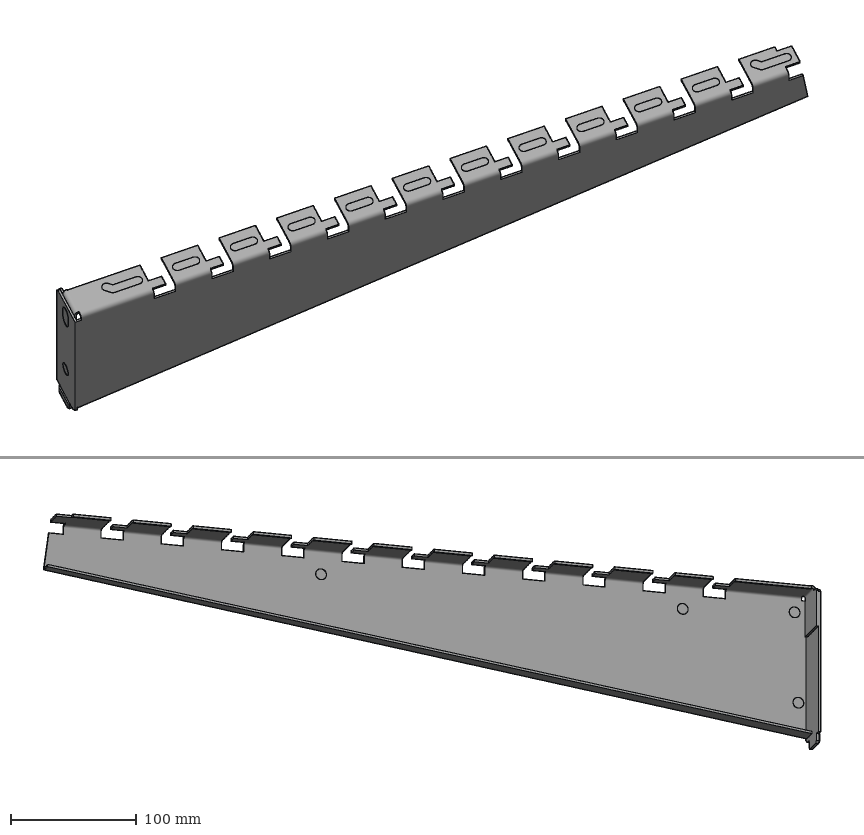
import cadquery as cq
import math

sheet = 2.0
bend_inside = 2.0
bend_outside = bend_inside + sheet
margin = 6.5

length = 635.0
width = 37.5
height = 138.5

top_angle = 0.7
bottom_angle = 7.8
tongue_end = 631.0
bottom_rear = 98.0
top_slope = math.tan(math.radians(top_angle))
bottom_slope = math.tan(math.radians(bottom_angle))

top_width = 30.0
lip_rounding = 1.0
lip_depth = 2.5
bottom_width_front = 18.5
bottom_width_rear = 13.0
trim_top = 114.0

notch_count = 11
notch_first = 70.0
notch_span = 499.0
notch_width = 18.5
notch_depth = 9.0
notch_pitch = notch_span / (notch_count - 1)
tongue_left = -12.0
notch_tongue_length = 11.5

rear_step = 618.5
rear_tongue_left = -25.0
rear_tongue_right = -7.5

recess_depth = 0.3

slot_x = -16.0
slot_width = 7.5
slot_length = 23.0
hook_shift = 4.0
hooked_length = 33.0
front_slot_margin = 4.0
front_slot_rear = notch_first - front_slot_margin
rear_slot_rear = 626.5

plate_front = 1.0
plate_back = plate_front + sheet
plate_bottom = 7.5
plate_top = 126.5
heel_height = 5.0
heel_width = 4.0
plate_corner = 2.5
foot_left = -31.0
foot_right = -10.0
foot_corner = 2.0
foot_bevel = 0.95
flap_bottom = 95.0
flap_right = -6.0
plate_hole_x = -19.5
plate_hole_width = 11.0
plate_slot_height = 19.5
plate_slot_z = 110.0
plate_hole_z = 42.0

web_hole_diameter = 9.0
web_holes = [(405.0, 114.0), (105.5, 111.0), (13.0, 116.0), (9.5, 41.0)]


def top_z(y):
    return height + (y - tongue_end) * top_slope


def bottom_z(y):
    return bottom_rear + (y - length) * bottom_slope


def rear_y(z):
    """Rear edge of the arm, square to the sloping bottom."""
    return length - (z - bottom_rear) * bottom_slope


def prism(points, x_from, x_to):
    """Solid with a (y, z) outline, between two x positions."""
    return cq.Workplane("YZ").workplane(offset=x_from).polyline(points).close().extrude(x_to - x_from)


def block(x_from, x_to, y_from, y_to, z_from, z_to):
    size = (x_to - x_from, y_to - y_from, z_to - z_from)
    return cq.Workplane("XY").box(*size, centered=False).translate((x_from, y_from, z_from))


def top_strip(x_from, x_to, y_from, y_to, depth, above=0.0):
    """Strip that follows the sloping top edge."""
    points = [
        (y_from, top_z(y_from) - depth),
        (y_to, top_z(y_to) - depth),
        (y_to, top_z(y_to) + above),
        (y_from, top_z(y_from) + above),
    ]
    return prism(points, x_from, x_to)


def nearest(x, y, z):
    return cq.selectors.NearestToPointSelector((x, y, z))


def channel():
    """Web with a bent flange along its top and its bottom edge."""
    front = plate_back
    rear_top = rear_y(height)
    outer = prism(
        [
            (front, bottom_z(front)),
            (length, bottom_rear),
            (rear_top, top_z(rear_top)),
            (front, top_z(front)),
        ],
        -top_width,
        0,
    )
    middle = length / 2
    outer = outer.edges(nearest(0, middle, top_z(middle))).fillet(bend_outside)
    outer = outer.edges(nearest(0, middle, bottom_z(middle))).fillet(bend_outside)
    outer = outer.edges(nearest(-top_width, middle, top_z(middle))).fillet(lip_rounding)

    y_from = front - margin
    y_to = length + margin
    bottom_gap = sheet / math.cos(math.radians(bottom_angle))
    inside_bottom = [(y_from, bottom_z(y_from) + bottom_gap), (y_to, bottom_z(y_to) + bottom_gap)]
    inner = prism(
        inside_bottom + [(y_to, top_z(y_to) - sheet), (y_from, top_z(y_from) - sheet)],
        sheet - top_width,
        -sheet,
    )
    inner = inner.edges(nearest(-sheet, middle, top_z(middle))).fillet(bend_inside)
    below_lip = prism(
        inside_bottom + [(y_to, top_z(y_to) - lip_depth), (y_from, top_z(y_from) - lip_depth)],
        -top_width - margin,
        sheet - top_width,
    )
    return outer.cut(inner).cut(below_lip)


def bottom_flange_trim():
    """Cutter that removes the bottom flange beyond its tapering free edge."""
    outline = [
        (-width, 0),
        (-bottom_width_front, 0),
        (-bottom_width_rear, length),
        (-bottom_width_rear, length + margin),
        (-width, length + margin),
    ]
    return cq.Workplane("XY").polyline(outline).close().extrude(trim_top)


def sunk_slot(x, y, reach, angle):
    """Cutter for a slot sunk into the top flange, its floor parallel to the sloping surface."""
    flange_plane = cq.Plane((x, y, top_z(y) - recess_depth), (1, 0, 0), (0, -top_slope, 1))
    return cq.Workplane(flange_plane).slot2D(reach, slot_width, angle).extrude(lip_depth)


def slot(y_front, y_rear):
    """Straight slot along the flange."""
    return sunk_slot(slot_x, (y_front + y_rear) / 2, y_rear - y_front, 90)


def hooked_slot(y_rear):
    """Slot whose front end turns diagonally towards the free edge."""
    y_front = y_rear - hooked_length + hook_shift
    bend_y = y_front + slot_width / 2
    reach = hook_shift * math.sqrt(2) + slot_width
    hook = sunk_slot(slot_x - hook_shift / 2, bend_y - hook_shift / 2, reach, 45)
    return slot(y_front, y_rear).union(hook)


def end_plate():
    """Plate across the front of the arm, with a bevelled foot at its lower end."""
    plate = block(-width, 0, plate_front, plate_back, plate_bottom, plate_top)
    plate = plate.edges("|Y and <X and >Z").chamfer(plate_corner)
    plate = plate.edges("|Y and >X and <Z").chamfer(heel_height, heel_width)
    foot = block(foot_left, foot_right, 0, plate_back, 0, plate_bottom)
    foot = foot.edges("|Y and <Z").chamfer(foot_corner)
    foot = foot.faces("<Y").edges("not >Z").chamfer(foot_bevel)
    return plate.union(foot)


def flap():
    """Front end of the top flange, bent down behind the end plate."""
    bend_y = plate_back + bend_outside
    bend_top = top_z(bend_y)
    bend_z = bend_top - bend_outside
    bend = (
        cq.Workplane("YZ", origin=(-top_width, 0, 0))
        .moveTo(plate_back, bend_z)
        .radiusArc((bend_y, bend_top), bend_outside)
        .lineTo(bend_y, bend_top - sheet)
        .radiusArc((plate_back + sheet, bend_z), -bend_inside)
        .close()
        .extrude(top_width + flap_right)
    )
    leaf = block(-width, flap_right, plate_back, plate_back + sheet, flap_bottom, bend_z)
    leaf = leaf.edges("|Y and <X and >Z").chamfer(plate_corner)
    return bend.union(leaf)


arm = channel().cut(bottom_flange_trim())

arm = arm.cut(block(-width, margin, 0, plate_back + bend_outside, plate_top, height))

for index in range(notch_count):
    notch_front = notch_first + index * notch_pitch
    notch_rear = notch_front + notch_width
    arm = arm.cut(top_strip(-width, margin, notch_front, notch_rear, notch_depth, margin))
    tongue_rear = notch_front + notch_tongue_length
    arm = arm.union(top_strip(tongue_left, -bend_outside, notch_front - sheet, tongue_rear, sheet))

arm = arm.cut(top_strip(-width, margin, rear_step, length + margin, notch_depth, margin))
arm = arm.union(top_strip(rear_tongue_left, rear_tongue_right, rear_step - sheet, tongue_end, sheet))

for index in range(notch_count - 1):
    slot_center = notch_first + index * notch_pitch + (notch_width + notch_pitch) / 2
    arm = arm.cut(slot(slot_center - slot_length / 2, slot_center + slot_length / 2))
arm = arm.cut(hooked_slot(front_slot_rear)).cut(hooked_slot(rear_slot_rear))

arm = arm.union(end_plate()).union(flap())
end_holes = (
    cq.Workplane("XZ", origin=(plate_hole_x, plate_front + recess_depth, 0))
    .center(0, plate_slot_z)
    .slot2D(plate_slot_height, plate_hole_width, 90)
    .center(0, plate_hole_z - plate_slot_z)
    .circle(plate_hole_width / 2)
    .extrude(margin)
)
arm = arm.cut(end_holes)

web_drills = (
    cq.Workplane("YZ", origin=(recess_depth - sheet, 0, 0))
    .pushPoints(web_holes)
    .circle(web_hole_diameter / 2)
    .extrude(-bend_outside)
)
result = arm.cut(web_drills)